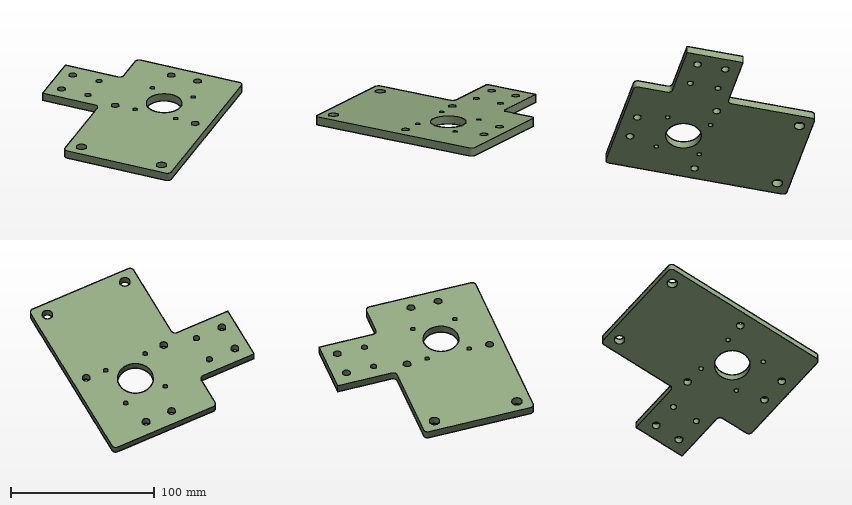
import cadquery as cq

overall_width = 123.6
body_height = 130.6
body_width = 80.7
thickness = 6.0
tab_height = 40.5
tab_center_y = 83.7
corner_radius = 3.0

tab_length = overall_width - body_width
body_center_x = tab_length + body_width / 2

motor_center_y = 84.7
motor_bore_diameter = 25.0
motor_hole_spacing = 31.0
motor_hole_diameter = 3.1

mount_hole_diameter = 5.4
foot_hole_diameter = 7.2
tab_inner_hole_diameter = 4.2
side_hole_spacing = 60.8
side_hole_y = 68.6
foot_hole_y = 8.9
top_hole_y = 120.6
small_spacing = 20.0
tab_outer_hole_x = 9.9
tab_inner_hole_x = tab_outer_hole_x + small_spacing


def block(x, y, width, height):
    """Box of plate thickness with its lower left corner at (x, y)."""
    return cq.Workplane("XY").box(width, height, thickness, centered=False).translate((x, y, 0))


def holes(points, diameter):
    """Cylinders that cut through the plate at the given points."""
    return cq.Workplane("XY").pushPoints(points).circle(diameter / 2).extrude(thickness)


def pair_in_x(y, spacing):
    """Two points at height y, symmetric about the body centerline."""
    return [(body_center_x + side * spacing / 2, y) for side in (-1, 1)]


def pair_in_y(x, spacing):
    """Two points at position x, symmetric about the tab centerline."""
    return [(x, tab_center_y + side * spacing / 2) for side in (-1, 1)]


body = block(tab_length, 0, body_width, body_height).edges("|Z").fillet(corner_radius)
tab = block(0, tab_center_y - tab_height / 2, tab_length, tab_height)
plate = body.union(tab)
inner_corners = cq.selectors.BoxSelector(
    (tab_length - corner_radius, tab_center_y - tab_height, -thickness),
    (tab_length + corner_radius, tab_center_y + tab_height, 2 * thickness),
)
plate = plate.edges("|Z").edges(inner_corners).fillet(corner_radius)

plate = plate.cut(holes([(body_center_x, motor_center_y)], motor_bore_diameter))
for side in (-1, 1):
    row_y = motor_center_y + side * motor_hole_spacing / 2
    plate = plate.cut(holes(pair_in_x(row_y, motor_hole_spacing), motor_hole_diameter))

plate = plate.cut(holes(pair_in_x(top_hole_y, small_spacing), mount_hole_diameter))
plate = plate.cut(holes(pair_in_x(side_hole_y, side_hole_spacing), mount_hole_diameter))
plate = plate.cut(holes(pair_in_x(foot_hole_y, side_hole_spacing), foot_hole_diameter))

plate = plate.cut(holes(pair_in_y(tab_outer_hole_x, small_spacing), mount_hole_diameter))
plate = plate.cut(holes(pair_in_y(tab_inner_hole_x, small_spacing), tab_inner_hole_diameter))

result = plate